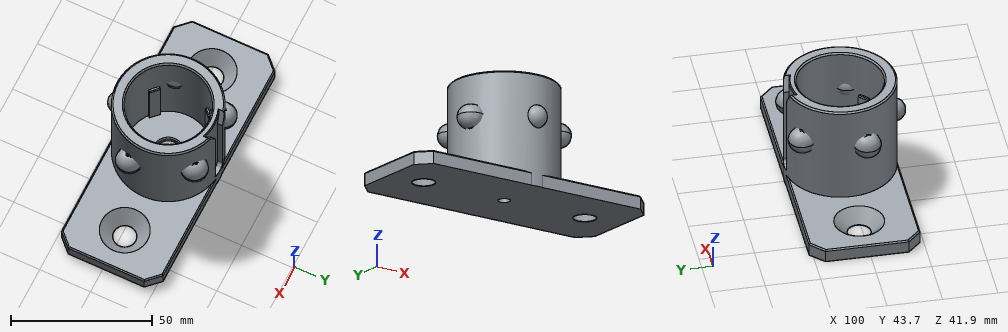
import cadquery as cq
import math

plate_length = 100.0
plate_width = 40.0
plate_thickness = 5.0
corner_chamfer = 5.0
edge_chamfer = 0.5

mount_spacing = 70.0
mount_hole_diameter = 8.5
countersink_diameter = 18.0
countersink_angle = 90.0

part_height = 41.9
socket_diameter = 40.3
socket_radius = socket_diameter / 2
bore_diameter = 31.3
bore_radius = bore_diameter / 2
rim_chamfer = 0.6
bore_floor = plate_thickness

screw_hole_diameter = 4.5
recess_diameter = 9.8
recess_depth = 2.0
recess_chamfer = 0.5

rib_count = 4
rib_width = 4.2
rib_face_radius = 14.5
rib_top = 25.0
rib_chamfer = 0.4
rib_root_overlap = 1.0

detent_count = 5
detent_radius = 3.8
ball_protrusion = 3.4
detent_half_height = 4.35
detent_center_radius = socket_radius + ball_protrusion - detent_radius
detent_height = 26.0
ball_angle = -90.0

keyway_mouth_width = 12.0
keyway_width = 5.8
keyway_flare_height = 5.0
keyway_bottom = 6.5
keyway_floor_radius = 18.2
keyway_corner_radius = 1.2
keyway_floor_chamfer = 0.4


def make_plate():
    """Plate with cut corners, a bevelled top edge and countersunk holes."""
    plate = (
        cq.Workplane("XY")
        .rect(plate_length, plate_width)
        .extrude(plate_thickness)
        .edges("|Z")
        .chamfer(corner_chamfer)
        .faces(">Z")
        .edges()
        .chamfer(edge_chamfer)
    )
    return (
        plate.faces(">Z")
        .workplane(origin=(0, 0, plate_thickness))
        .rarray(mount_spacing, 1, 2, 1)
        .cskHole(mount_hole_diameter, countersink_diameter, countersink_angle)
    )


def make_cylinder(radius, bottom, top):
    """Vertical cylinder between two heights on the socket axis."""
    return cq.Workplane("XY", origin=(0, 0, bottom)).circle(radius).extrude(top - bottom)


def make_top_bevel(radius, top, size):
    """Cone frustum that bevels the mouth of a round opening."""
    return (
        cq.Workplane("XY", origin=(0, 0, top - size))
        .circle(radius)
        .workplane(offset=size)
        .circle(radius + size)
        .loft()
    )


def make_bore():
    """Bevelled bore, screw recess and through hole as one cutting solid."""
    bore = make_cylinder(bore_radius, bore_floor, part_height)
    bore = bore.union(make_top_bevel(bore_radius, part_height, rim_chamfer))
    recess_radius = recess_diameter / 2
    bore = bore.union(make_cylinder(recess_radius, bore_floor - recess_depth, bore_floor))
    bore = bore.union(make_top_bevel(recess_radius, bore_floor, recess_chamfer))
    return bore.union(make_cylinder(screw_hole_diameter / 2, 0, bore_floor))


def make_rib(angle):
    """Flat-faced rib on the bore wall with a bevelled inner top edge."""
    rib_root = bore_radius + rib_root_overlap
    return (
        cq.Workplane("XY")
        .box(rib_root - rib_face_radius, rib_width, rib_top - bore_floor, centered=(False, True, False))
        .translate((rib_face_radius, 0, bore_floor))
        .edges("<X and >Z")
        .chamfer(rib_chamfer)
        .rotate((0, 0, 0), (0, 0, 1), angle)
    )


def make_detent(angle):
    """Slightly elongated ball, a circular arc turned about its vertical chord."""
    angle_radians = math.radians(angle)
    center_x = detent_center_radius * math.cos(angle_radians)
    center_y = detent_center_radius * math.sin(angle_radians)
    return (
        cq.Workplane("XZ")
        .moveTo(0, -detent_half_height)
        .threePointArc((detent_radius, 0), (0, detent_half_height))
        .close()
        .revolve(360, (0, 0, 0), (0, 1, 0))
        .translate((center_x, center_y, detent_height))
    )


def make_keyway():
    """Keyway with a flared mouth and a round floor that follows the socket wall."""
    flare_start = part_height - keyway_flare_height
    slot = (
        cq.Workplane("XZ")
        .polyline(
            [
                (-keyway_width / 2, keyway_bottom),
                (keyway_width / 2, keyway_bottom),
                (keyway_width / 2, flare_start),
                (keyway_mouth_width / 2, part_height),
                (-keyway_mouth_width / 2, part_height),
                (-keyway_width / 2, flare_start),
            ]
        )
        .close()
        .extrude(-plate_width)
        .edges("|Y and <Z")
        .fillet(keyway_corner_radius)
    )
    core = make_cylinder(keyway_floor_radius, 0, part_height)
    core = core.faces(">Z").edges().chamfer(keyway_floor_chamfer)
    return slot.cut(core)


socket = make_cylinder(socket_radius, 0, part_height).faces(">Z").edges().chamfer(rim_chamfer)
result = make_plate().union(socket).cut(make_bore())

for rib_index in range(rib_count):
    result = result.union(make_rib(45 + rib_index * 360 / rib_count))

result = result.cut(make_keyway())

for dimple_index in range(1, detent_count):
    result = result.cut(make_detent(ball_angle + dimple_index * 360 / detent_count))

result = result.union(make_detent(ball_angle))